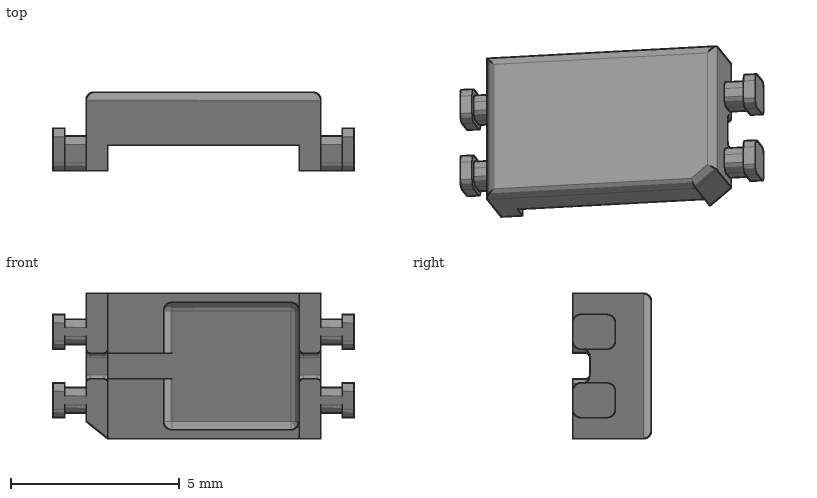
import cadquery as cq
import math

overall_length = 8.94
body_length = 6.97
body_depth = 2.34
body_height = 4.32
back_edge_radius = 0.25
front_y = -body_depth / 2
back_y = body_depth / 2

leg_thickness = 0.65
bevel_length = leg_thickness
bevel_height = 0.52

leg_projection = 0.76
leg_spacing = body_length - 2 * leg_thickness
recess_y = front_y + leg_projection

pocket_depth = 1.27
pocket_length = 4.02
pocket_height = 3.78
pocket_radius = 0.25
pocket_right_x = leg_spacing / 2
pocket_left_x = pocket_right_x - pocket_length

slot_width = 0.762
notch_depth = 0.51
notch_radius = 0.127

terminal_pitch = 2.03
terminal_radius = 0.25
flange_thickness = 0.36
flange_depth = 1.27
flange_height = 1.03
post_depth = 1.04
post_height = 0.76
terminal_length = (overall_length - body_length) / 2


def block(x_min, x_max, y_min, y_max, height, z_center=0):
    """Box between two X and two Y limits, centred in Z on z_center."""
    return (
        cq.Workplane("XY")
        .box(x_max - x_min, y_max - y_min, height)
        .translate(((x_min + x_max) / 2, (y_min + y_max) / 2, z_center))
    )


def make_body():
    """Body with one bevelled corner and a rounded back rim."""
    half_length = body_length / 2
    half_height = body_height / 2
    outline = [
        (-half_length, half_height),
        (half_length, half_height),
        (half_length, -half_height),
        (-half_length + bevel_length, -half_height),
        (-half_length, -half_height + bevel_height),
    ]
    body = cq.Workplane("XZ", origin=(0, back_y, 0)).polyline(outline).close().extrude(body_depth)
    return body.faces(">Y").edges().fillet(back_edge_radius)


def make_recess():
    """Space between the legs, over the full height."""
    return block(-leg_spacing / 2, leg_spacing / 2, front_y, recess_y, body_height)


def make_pocket():
    """Pocket with rounded corners and a rounded floor edge."""
    pocket = block(pocket_left_x, pocket_right_x, recess_y, recess_y + pocket_depth, pocket_height)
    return pocket.edges("|Y").fillet(pocket_radius).faces(">Y").edges().fillet(pocket_radius)


def make_slot():
    """Slot level with the pocket floor, ending where the floor becomes flat."""
    slot_end_x = pocket_left_x + pocket_radius
    return block(-leg_spacing / 2, slot_end_x, recess_y, recess_y + pocket_depth, slot_width)


def make_flared_foot(x_center, z_center):
    """Material kept at a notch corner: a round column widening with a concave fillet to the floor."""
    floor_y = front_y + notch_depth
    flare_y = floor_y - notch_radius
    foot_radius = 2 * notch_radius
    arc_offset = notch_radius * math.sqrt(0.5)
    profile = (
        cq.Workplane("XY")
        .moveTo(0, front_y)
        .lineTo(notch_radius, front_y)
        .lineTo(notch_radius, flare_y)
        .threePointArc((foot_radius - arc_offset, flare_y + arc_offset), (foot_radius, floor_y))
        .lineTo(0, floor_y)
        .close()
    )
    return profile.revolve(360, (0, 0, 0), (0, 1, 0)).translate((x_center, 0, z_center))


def make_notch(side):
    """Round-bottomed notch through one leg, with its mouth flared at both leg faces."""
    leg_x = side * (leg_spacing + leg_thickness) / 2
    floor_y = front_y + notch_depth
    half_middle = leg_thickness / 2 - notch_radius
    flared_width = slot_width + 2 * notch_radius
    notch = block(leg_x - half_middle, leg_x + half_middle, front_y, floor_y, slot_width)
    notch = notch.edges("|X and >Y").fillet(notch_radius)
    for direction in (-1, 1):
        inner_x = leg_x + direction * half_middle
        face_x = leg_x + direction * leg_thickness / 2
        mouth = block(min(inner_x, face_x), max(inner_x, face_x), front_y, floor_y, flared_width)
        for foot_z in (-flared_width / 2, flared_width / 2):
            mouth = mouth.cut(make_flared_foot(inner_x, foot_z))
        notch = notch.union(mouth)
    return notch


def make_terminal(side, z_center):
    """Terminal on one end face: a rounded post carrying a wider rounded flange."""
    def rounded_bar(inner_x, outer_x, depth, height):
        x_min, x_max = sorted((side * inner_x, side * outer_x))
        bar = block(x_min, x_max, front_y, front_y + depth, height, z_center)
        return bar.edges("|X").fillet(terminal_radius)

    end_x = body_length / 2
    outer_x = end_x + terminal_length
    flange_x = outer_x - flange_thickness
    post = rounded_bar(end_x, flange_x, post_depth, post_height)
    flange = rounded_bar(flange_x, outer_x, flange_depth, flange_height)
    return post.union(flange)


result = make_body().cut(make_recess()).cut(make_pocket()).cut(make_slot())
for side in (-1, 1):
    result = result.cut(make_notch(side))
    for z_center in (-terminal_pitch / 2, terminal_pitch / 2):
        result = result.union(make_terminal(side, z_center))